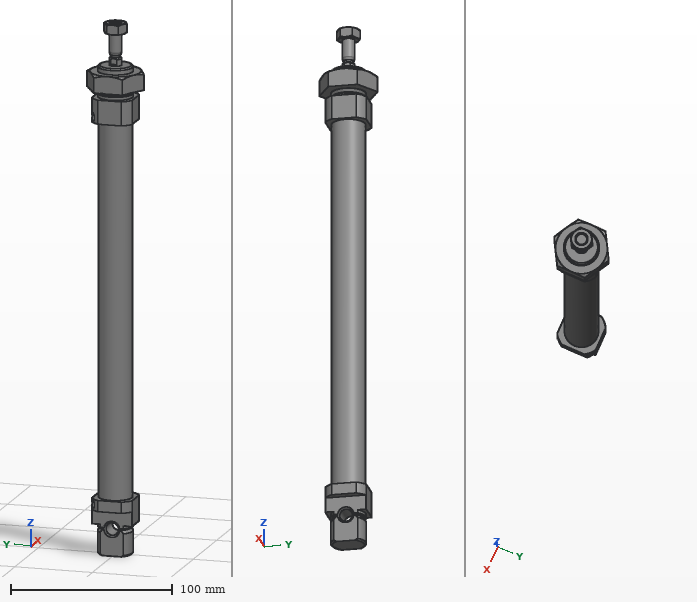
import cadquery as cq
import math

total_length = 338.13

tube_diameter = 21.3
cap_width = 26.0
cap_corner_diameter = 30.2
boss_diameter = 22.0
relief_diameter = 19.7
boss_chamfer = 1.0
eye_thickness = 16.0
pivot_diameter = 8.0
pivot_chamfer = 1.1
pivot_z = 17.15

rear_cap_bottom = 19.8
rear_cheek_bottom = 29.1
rear_cap_top = 36.2
front_cap_bottom = 275.9
front_cap_top = 291.2
front_boss_top = 311.2

relief_offset = 2.0
relief_length = 3.0

port_diameter = 5.0
port_depth = 4.0
port_inset = 3.4
port_angle = 128.0

mounting_nut_width = 32.0
mounting_nut_bottom = 296.3
mounting_nut_height = 11.1
mounting_nut_face_diameter = mounting_nut_width

rod_diameter = 8.0
rod_stud_diameter = 6.79
rod_neck_diameter = 6.1
rod_tip_recess = 1.8
rod_thread_bottom = 319.7
rod_thread_runout = 2.0
rod_shoulder = 315.4
rod_flat_width = 7.0
rod_flat_bottom = 312.2

rod_nut_width = 13.0
rod_nut_height = 6.5
rod_nut_face_diameter = 12.6
rod_nut_countersink_diameter = 7.94

CHAMFER_SLOPE = math.tan(math.radians(30))


def cylinder(diameter, bottom, top):
    return cq.Workplane("XY").workplane(offset=bottom).circle(diameter / 2).extrude(top - bottom)


def hexagon(width, bottom, height):
    """Hexagonal prism with flats facing +X and -X."""
    corner_diameter = width / math.cos(math.radians(30))
    prism = cq.Workplane("XY").polygon(6, corner_diameter).extrude(height)
    return prism.rotate((0, 0, 0), (0, 0, 1), 30).translate((0, 0, bottom))


def corner_bevel(face_diameter, base, face):
    """Cone that bevels the corners of a nut at its end face, widening towards its base."""
    face_radius = face_diameter / 2
    base_radius = face_radius + abs(face - base) / CHAMFER_SLOPE
    profile = [(0, base), (base_radius, base), (face_radius, face), (0, face)]
    return cq.Workplane("XZ").polyline(profile).close().revolve(360, (0, 0, 0), (0, 1, 0))


def cap_block(bottom, top):
    """Square block with round corners."""
    block = cq.Workplane("XY").workplane(offset=bottom).rect(cap_width, cap_width).extrude(top - bottom)
    return block.intersect(cylinder(cap_corner_diameter, bottom, top))


def relief_groove(wall_z, direction):
    """Ring cut from a boss: a square wall on the cap side and a cone on the far side."""
    outer = boss_diameter / 2
    inner = relief_diameter / 2
    cone_length = (outer - inner) / CHAMFER_SLOPE
    far_z = wall_z + direction * relief_length
    profile = [
        (outer, wall_z),
        (inner, wall_z),
        (inner, far_z - direction * cone_length),
        (outer, far_z),
    ]
    return cq.Workplane("XZ").polyline(profile).close().revolve(360, (0, 0, 0), (0, 1, 0))


def port(z):
    """Drill for an air port, radial to the axis."""
    start = cap_corner_diameter / 2
    drill = cq.Workplane("YZ").circle(port_diameter / 2).extrude(port_depth)
    drill = drill.translate((start - port_depth, 0, z))
    return drill.rotate((0, 0, 0), (0, 0, 1), port_angle)


def pivot_hole():
    """Hole through the rear eye along X, chamfered at both ends."""
    half = eye_thickness / 2
    radius = pivot_diameter / 2
    profile = [
        (-half, 0),
        (-half, radius + pivot_chamfer),
        (-half + pivot_chamfer, radius),
        (half - pivot_chamfer, radius),
        (half, radius + pivot_chamfer),
        (half, 0),
    ]
    hole = cq.Workplane("XY").polyline(profile).close().revolve(360, (0, 0, 0), (1, 0, 0))
    return hole.translate((0, 0, pivot_z))


def make_rear_end():
    boss = cylinder(boss_diameter, 0, rear_cap_bottom).faces("<Z").chamfer(boss_chamfer)
    boss = boss.cut(relief_groove(rear_cap_bottom - relief_offset, -1))
    eye = boss.union(cap_block(rear_cap_bottom, rear_cheek_bottom))
    eye_limit = cq.Workplane("XY").box(eye_thickness, 2 * cap_width, rear_cheek_bottom, (True, True, False))
    eye = eye.intersect(eye_limit)
    return eye.union(cap_block(rear_cheek_bottom, rear_cap_top)).cut(pivot_hole())


def make_front_end():
    boss = cylinder(boss_diameter, front_cap_top, front_boss_top).faces(">Z").chamfer(boss_chamfer)
    boss = boss.cut(relief_groove(front_cap_top + relief_offset, 1))
    return boss.union(cap_block(front_cap_bottom, front_cap_top))


def make_body():
    tube = cylinder(tube_diameter, rear_cap_top, front_cap_bottom)
    body = tube.union(make_rear_end()).union(make_front_end())
    for port_z in (rear_cap_top - port_inset, front_cap_bottom + port_inset):
        body = body.cut(port(port_z))
    rod_bore = cylinder(rod_diameter, front_cap_bottom, front_boss_top)
    return body.cut(rod_bore)


def make_mounting_nut():
    top = mounting_nut_bottom + mounting_nut_height
    nut = hexagon(mounting_nut_width, mounting_nut_bottom, mounting_nut_height)
    nut = nut.intersect(corner_bevel(mounting_nut_face_diameter, mounting_nut_bottom, top))
    return nut.cut(cylinder(boss_diameter, mounting_nut_bottom, top))


def make_rod():
    radius = rod_diameter / 2
    stud_radius = rod_stud_diameter / 2
    neck_radius = rod_neck_diameter / 2
    neck_chamfer = radius - neck_radius
    thread_end = rod_thread_bottom - rod_thread_runout
    nut_bottom = total_length - rod_nut_height
    tip_z = total_length - rod_tip_recess
    profile = [
        (0, front_cap_bottom),
        (radius, front_cap_bottom),
        (radius, rod_shoulder),
        (neck_radius, rod_shoulder + neck_chamfer),
        (neck_radius, thread_end),
        (stud_radius, thread_end),
        (radius, rod_thread_bottom),
        (radius, nut_bottom),
        (stud_radius, nut_bottom),
        (stud_radius, tip_z),
        (0, tip_z),
    ]
    rod = cq.Workplane("XZ").polyline(profile).close().revolve(360, (0, 0, 0), (0, 1, 0))
    flat_height = rod_shoulder + neck_chamfer - rod_flat_bottom
    for side in (-1, 1):
        cutter = cq.Workplane("XY").box(radius, rod_diameter, flat_height, (True, True, False))
        cutter_x = side * (rod_flat_width + radius) / 2
        rod = rod.cut(cutter.translate((cutter_x, 0, rod_flat_bottom)))
    return rod


def make_rod_nut():
    bottom = total_length - rod_nut_height
    nut = hexagon(rod_nut_width, bottom, rod_nut_height)
    nut = nut.intersect(corner_bevel(rod_nut_face_diameter, bottom, total_length))
    nut = nut.intersect(corner_bevel(rod_nut_face_diameter, total_length, bottom))
    nut = nut.cut(cylinder(rod_stud_diameter, bottom, total_length))
    countersink = (rod_nut_countersink_diameter - rod_stud_diameter) / 2
    return nut.faces(">Z").edges("%CIRCLE").edges(cq.selectors.RadiusNthSelector(0)).chamfer(countersink)


body = make_body()
mounting_nut = make_mounting_nut()
rod = make_rod()
rod_nut = make_rod_nut()

result = cq.Compound.makeCompound([body.val(), mounting_nut.val(), rod.val(), rod_nut.val()])